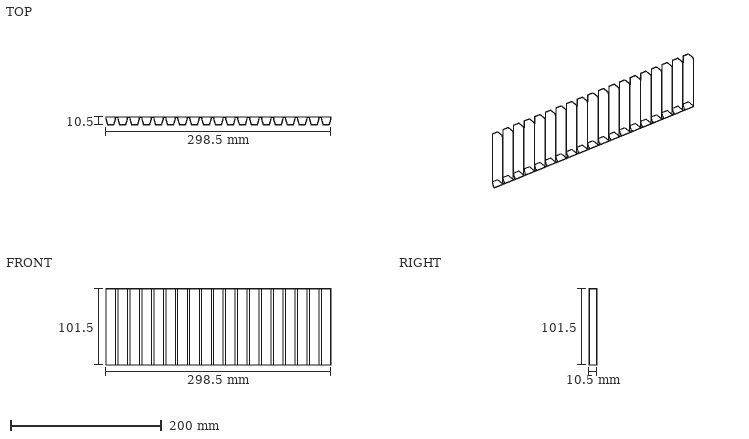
import cadquery as cq

LENGTH = 298.5
THICKNESS = 10.5
HEIGHT = 101.5

TOOTH_COUNT = 19
FLOOR_SHARE = 0.2
TIP_WIDTH = 8.0
TIP_RADIUS = 0.5
WEB_THICKNESS = 1.0
ROOT_THICKNESS = 2.7

PITCH = LENGTH / (TOOTH_COUNT - FLOOR_SHARE)
FLOOR_WIDTH = FLOOR_SHARE * PITCH
MOUTH_WIDTH = PITCH - TIP_WIDTH

TIP_Y = -THICKNESS / 2
BACK_Y = THICKNESS / 2
FLOOR_Y = BACK_Y - WEB_THICKNESS
ROOT_Y = BACK_Y - ROOT_THICKNESS


def groove(center_x):
    """Full-height groove, open toward -Y: sloping flanks leading to a straight-sided bottom."""
    return (
        cq.Workplane("XY")
        .polyline([
            (center_x - MOUTH_WIDTH / 2, TIP_Y),
            (center_x + MOUTH_WIDTH / 2, TIP_Y),
            (center_x + FLOOR_WIDTH / 2, ROOT_Y),
            (center_x + FLOOR_WIDTH / 2, FLOOR_Y),
            (center_x - FLOOR_WIDTH / 2, FLOOR_Y),
            (center_x - FLOOR_WIDTH / 2, ROOT_Y),
        ])
        .close()
        .extrude(HEIGHT)
    )


result = cq.Workplane("XY").box(LENGTH, THICKNESS, HEIGHT, centered=(True, True, False))

for index in range(TOOTH_COUNT + 1):
    result = result.cut(groove((index - TOOTH_COUNT / 2) * PITCH))

result = result.faces("<Y").edges("|Z").fillet(TIP_RADIUS)